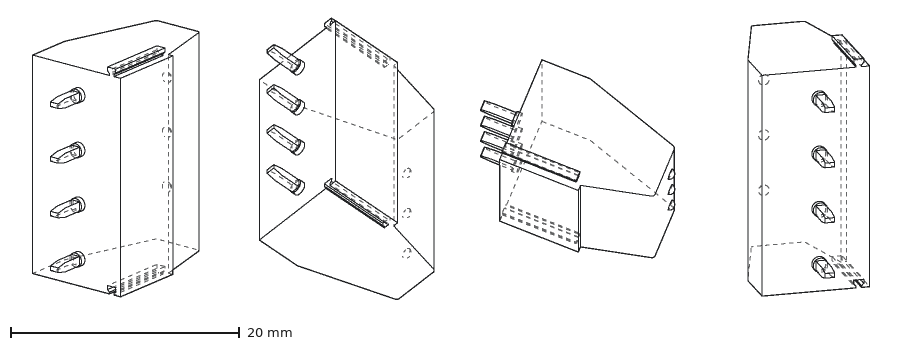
import cadquery as cq

POLES = 4
OVERALL_DEPTH = 17.7
OVERALL_HEIGHT = 21.05
WIDTH = 9.8
DEPTH = 13.8
HEIGHT = 20.32
PITCH = HEIGHT / POLES

LEFT_WALL = 4.57
STEP_DEPTH = 7.43
STEP_WIDTH = 0.5
CROWN_LEFT = 2.95
CROWN_RIGHT = 7.8
CROWN_RADIUS = 0.32

TONGUE_HEIGHT = OVERALL_HEIGHT - HEIGHT
TONGUE_LENGTH = 7.0
TONGUE_INSET = 1.0
TONGUE_X = WIDTH - TONGUE_INSET
HEAD_WIDTH = 0.9
NECK_WIDTH = 0.5
NECK_HEIGHT = 0.17
FLARE_HEIGHT = (HEAD_WIDTH - NECK_WIDTH) / 2

PIN_X = 5.18
PIN_LENGTH = 3.5
PIN_SIZE = 0.86
PIN_TIP = 0.42
PIN_TAPER = 0.97
COLLAR_DIAMETER = 1.3
COLLAR_LENGTH = 0.48

DOME_X = 4.09
DOME_RADIUS = 0.48
DOME_HEIGHT = OVERALL_DEPTH - PIN_LENGTH - DEPTH


def make_body():
    outline = [
        (0, 0),
        (WIDTH, 0),
        (WIDTH, STEP_DEPTH),
        (WIDTH - STEP_WIDTH, STEP_DEPTH),
        (CROWN_RIGHT, DEPTH),
        (CROWN_LEFT, DEPTH),
        (0, LEFT_WALL),
    ]
    body = cq.Workplane("XY").polyline(outline).close().extrude(HEIGHT)
    crown_edges = body.faces(">Y").edges("|Z")
    return crown_edges.fillet(CROWN_RADIUS)


def make_dovetail(base_z):
    """Dovetail bar standing on base_z, running from the pin face along +Y."""
    flare_top = NECK_HEIGHT + FLARE_HEIGHT
    right_half = [
        (NECK_WIDTH / 2, 0),
        (NECK_WIDTH / 2, NECK_HEIGHT),
        (HEAD_WIDTH / 2, flare_top),
        (HEAD_WIDTH / 2, TONGUE_HEIGHT),
    ]
    left_half = [(-x, z) for x, z in reversed(right_half)]
    profile = cq.Workplane("XZ").polyline(right_half + left_half).close()
    return profile.extrude(-TONGUE_LENGTH).translate((TONGUE_X, 0, base_z))


def make_pin(center_z):
    half = PIN_SIZE / 2
    half_tip = PIN_TIP / 2
    taper_start = PIN_TAPER - PIN_LENGTH
    side = [
        (0, half),
        (taper_start, half),
        (-PIN_LENGTH, half_tip),
        (-PIN_LENGTH, -half_tip),
        (taper_start, -half),
        (0, -half),
    ]
    blade = cq.Workplane("YZ").polyline(side).close().extrude(half, both=True)
    collar = cq.Workplane("XZ").circle(COLLAR_DIAMETER / 2).extrude(COLLAR_LENGTH)
    return blade.union(collar).translate((PIN_X, 0, center_z))


def make_dome(center_z):
    center_y = DEPTH + DOME_HEIGHT - DOME_RADIUS
    return cq.Workplane("XY").sphere(DOME_RADIUS).translate((DOME_X, center_y, center_z))


result = make_body().cut(make_dovetail(0)).union(make_dovetail(HEIGHT))
for pole in range(POLES):
    result = result.union(make_pin((pole + 0.5) * PITCH))
for gap in range(1, POLES):
    result = result.union(make_dome(gap * PITCH))